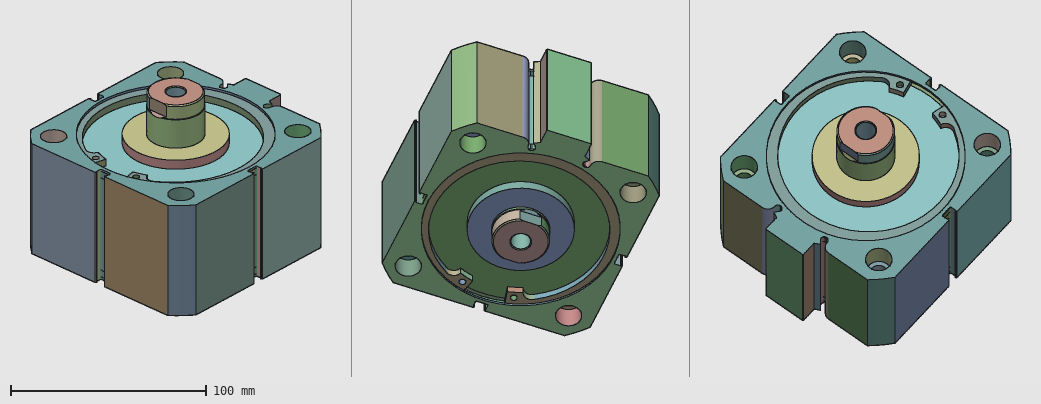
import cadquery as cq
import math


HOUSING_WIDTH = 115.0
HALF_WIDTH = HOUSING_WIDTH / 2
HOUSING_HEIGHT = 65.0
CORNER_TURNING_RADIUS = 74.5
BORE_RADIUS = 51.0

BOLT_SPACING = 88.6
BOLT_HOLE_DIAMETER = 8.7
COUNTERBORE_DIAMETER = 13.5
COUNTERBORE_DEPTH = 13.0

SLOT_WIDTH = 6.8
SLOT_DEPTH = 4.5
SLOT_FLOOR_FILLET = 0.6
SLOT_MOUTH_WIDTH = 6.5
SLOT_LIP_WIDTH = 5.4
SLOT_LIP_TAPER_DEPTH = 0.4
SLOT_LIP_THICKNESS = 0.9

RAIL_WIDTH = 24.7
RAIL_TOP_Y = 66.5
RAIL_CORNER_CHAMFER = 0.4
BARB_TIP_X = 15.45
BARB_TIP_Y = 55.95
UNDERCUT_X = 15.2
UNDERCUT_Y = 52.75
UNDERCUT_RADIUS = 2.0
UNDERCUT_NECK_ANGLE = math.radians(140)
SHOULDER_RADIUS = HALF_WIDTH - UNDERCUT_Y

RING_INSET = 1.3
RING_THICKNESS = 4.0
RING_OUTER_RADIUS = 52.95
RING_INNER_RADIUS = 46.5
RING_INNER_OFFSET = 2.1
LUG_INNER_RADIUS = 43.2
LUG_START_ANGLE = math.radians(12.8)
LUG_END_ANGLE = math.radians(23.6)
LUG_NECK_MID = (20.3, -42.55)
LUG_NECK_END_X = 24.5
LUG_HOLE_DIAMETER = 3.5
LUG_HOLE_RADIUS = 46.9
LUG_HOLE_ANGLE = math.radians(17.6)
TOP_RING_TURN = -0.7

COVER_INSET = RING_INSET + RING_THICKNESS
COVER_THICKNESS = 15.0
COVER_BOSS_DIAMETER = 55.0

ROD_DIAMETER = 30.0
ROD_END_DIAMETER = 29.5
ROD_TOP_PROJECTION = 25.0
ROD_BOTTOM_PROJECTION = 10.0
ROD_END_LENGTH = 8.1
ROD_END_CHAMFER = 0.7
ROD_STEP_CHAMFER = (ROD_DIAMETER - ROD_END_DIAMETER) / 2
FLAT_SPACING = 27.0
FLAT_LENGTH = 7.3
ROD_BOTTOM_Z = -ROD_BOTTOM_PROJECTION
ROD_TOP_Z = HOUSING_HEIGHT + ROD_TOP_PROJECTION
ROD_MID_Z = (ROD_BOTTOM_Z + ROD_TOP_Z) / 2
TAP_HOLE_DIAMETER = 10.2
TAP_MOUTH_DIAMETER = 11.2
TAP_HOLE_DEPTH = 25.0
DRILL_POINT_ANGLE = math.radians(118)


def polar_from_minus_y(radius, angle):
    """Point at a radius, its angle counted from -Y towards +X."""
    return (radius * math.sin(angle), -radius * math.cos(angle))


def mirrored_to_other_end(body):
    """Copy of a body, mirrored about the mid-height plane of the housing."""
    return body.mirror("XY", (0, 0, HOUSING_HEIGHT / 2))


def make_slot_cutter():
    """Slot with tapered lips and rounded floor corners, opening at the -Y face."""
    right_side = [
        (SLOT_MOUTH_WIDTH / 2, 0),
        (SLOT_LIP_WIDTH / 2, SLOT_LIP_TAPER_DEPTH),
        (SLOT_LIP_WIDTH / 2, SLOT_LIP_THICKNESS),
        (SLOT_WIDTH / 2, SLOT_LIP_THICKNESS),
        (SLOT_WIDTH / 2, SLOT_DEPTH),
    ]
    left_side = [(-x, depth) for x, depth in reversed(right_side)]
    outline = [(x, depth - HALF_WIDTH) for x, depth in right_side + left_side]
    slot = cq.Workplane("XY").polyline(outline).close().extrude(HOUSING_HEIGHT)
    return slot.edges("|Z and >Y").fillet(SLOT_FLOOR_FILLET)


def make_rail():
    """Rail block standing on the +Y face."""
    rail_height = RAIL_TOP_Y - HALF_WIDTH
    return (
        cq.Workplane("XY")
        .box(RAIL_WIDTH, rail_height, HOUSING_HEIGHT, centered=(True, False, False))
        .translate((0, HALF_WIDTH, 0))
        .edges("|Z and >Y")
        .chamfer(RAIL_CORNER_CHAMFER)
    )


def make_undercut_cutter():
    """Groove on the +X side of the rail: barb, round undercut, rounded shoulder."""
    neck = (
        UNDERCUT_X + UNDERCUT_RADIUS * math.cos(UNDERCUT_NECK_ANGLE),
        UNDERCUT_Y + UNDERCUT_RADIUS * math.sin(UNDERCUT_NECK_ANGLE),
    )
    shoulder_start_x = UNDERCUT_X + UNDERCUT_RADIUS
    shoulder_center_x = shoulder_start_x + SHOULDER_RADIUS
    shoulder_mid = (
        shoulder_center_x - SHOULDER_RADIUS * math.sqrt(0.5),
        UNDERCUT_Y + SHOULDER_RADIUS * math.sqrt(0.5),
    )
    return (
        cq.Workplane("XY")
        .moveTo(RAIL_WIDTH / 2, HALF_WIDTH)
        .lineTo(BARB_TIP_X, BARB_TIP_Y)
        .lineTo(*neck)
        .threePointArc((UNDERCUT_X, UNDERCUT_Y - UNDERCUT_RADIUS), (shoulder_start_x, UNDERCUT_Y))
        .threePointArc(shoulder_mid, (shoulder_center_x, HALF_WIDTH))
        .close()
        .extrude(HOUSING_HEIGHT)
    )


def make_ring_groove():
    """Full-round groove for the top retaining ring."""
    return (
        cq.Workplane("XY", origin=(0, 0, HOUSING_HEIGHT - RING_INSET))
        .circle(RING_OUTER_RADIUS)
        .extrude(-RING_THICKNESS)
    )


def make_bolt_hole_cutter():
    """Four through holes with a counterbore at each end."""
    def holes(start_z, diameter, depth):
        return (
            cq.Workplane("XY", origin=(0, 0, start_z))
            .rect(BOLT_SPACING, BOLT_SPACING, forConstruction=True)
            .vertices()
            .circle(diameter / 2)
            .extrude(depth)
        )

    through_holes = holes(0, BOLT_HOLE_DIAMETER, HOUSING_HEIGHT)
    lower_counterbores = holes(0, COUNTERBORE_DIAMETER, COUNTERBORE_DEPTH)
    upper_counterbores = mirrored_to_other_end(lower_counterbores)
    return through_holes.union(lower_counterbores).union(upper_counterbores)


def make_housing():
    block = cq.Workplane("XY").rect(HOUSING_WIDTH, HOUSING_WIDTH).extrude(HOUSING_HEIGHT)
    corner_round = cq.Workplane("XY").circle(CORNER_TURNING_RADIUS).extrude(HOUSING_HEIGHT)
    housing = block.intersect(corner_round).union(make_rail())

    undercut = make_undercut_cutter()
    housing = housing.cut(undercut).cut(undercut.mirror("YZ"))

    slot = make_slot_cutter()
    for turn in (-90, 0, 90):
        housing = housing.cut(slot.rotate((0, 0, 0), (0, 0, 1), turn))

    bore = cq.Workplane("XY").circle(BORE_RADIUS).extrude(HOUSING_HEIGHT)
    groove = make_ring_groove()
    housing = housing.cut(bore).cut(groove).cut(mirrored_to_other_end(groove))
    return housing.cut(make_bolt_hole_cutter())


def make_retaining_ring():
    """Top internal retaining ring, its gap and two drilled lugs at -Y."""
    lug_mid_angle = (LUG_START_ANGLE + LUG_END_ANGLE) / 2
    end_outer = polar_from_minus_y(RING_OUTER_RADIUS, LUG_START_ANGLE)
    lug_start = polar_from_minus_y(LUG_INNER_RADIUS, LUG_START_ANGLE)
    lug_mid = polar_from_minus_y(LUG_INNER_RADIUS, lug_mid_angle)
    lug_end = polar_from_minus_y(LUG_INNER_RADIUS, LUG_END_ANGLE)
    neck_drop = math.sqrt(RING_INNER_RADIUS**2 - LUG_NECK_END_X**2)
    neck_end = (LUG_NECK_END_X, -RING_INNER_OFFSET - neck_drop)
    hole_x, hole_y = polar_from_minus_y(LUG_HOLE_RADIUS, LUG_HOLE_ANGLE)

    def opposite(point):
        """The same point on the -X side."""
        return (-point[0], point[1])

    return (
        cq.Workplane("XY", origin=(0, 0, HOUSING_HEIGHT - RING_INSET))
        .moveTo(*end_outer)
        .lineTo(*lug_start)
        .threePointArc(lug_mid, lug_end)
        .threePointArc(LUG_NECK_MID, neck_end)
        .threePointArc((0, RING_INNER_RADIUS - RING_INNER_OFFSET), opposite(neck_end))
        .threePointArc(opposite(LUG_NECK_MID), opposite(lug_end))
        .threePointArc(opposite(lug_mid), opposite(lug_start))
        .lineTo(*opposite(end_outer))
        .threePointArc((0, RING_OUTER_RADIUS), end_outer)
        .close()
        .pushPoints([(hole_x, hole_y), (-hole_x, hole_y)])
        .circle(LUG_HOLE_DIAMETER / 2)
        .extrude(-RING_THICKNESS)
    )


def make_cover():
    """Top end cover: disc under the ring, with a rod boss flush with the housing."""
    disc_top = HOUSING_HEIGHT - COVER_INSET
    disc = (
        cq.Workplane("XY", origin=(0, 0, disc_top))
        .circle(BORE_RADIUS)
        .extrude(-COVER_THICKNESS)
    )
    boss = (
        cq.Workplane("XY", origin=(0, 0, disc_top))
        .circle(COVER_BOSS_DIAMETER / 2)
        .extrude(COVER_INSET)
    )
    return disc.union(boss).faces(">Z").workplane().hole(ROD_DIAMETER)


def make_flat_cutter():
    """Removes the rod outside two wrench flats at its top end, with 45 degree run-outs."""
    half_spacing = FLAT_SPACING / 2
    run_out = ROD_DIAMETER / 2
    flat_bottom = ROD_TOP_Z - FLAT_LENGTH
    side = (
        cq.Workplane("YZ")
        .polyline([
            (half_spacing, ROD_TOP_Z),
            (half_spacing, flat_bottom),
            (half_spacing + run_out, flat_bottom - run_out),
            (half_spacing + run_out, ROD_TOP_Z),
        ])
        .close()
        .extrude(ROD_DIAMETER / 2, both=True)
    )
    return side.union(side.mirror("XZ"))


def make_tap_hole_cutter():
    """Blind hole in the top rod end with a drill point and a chamfered mouth."""
    radius = TAP_HOLE_DIAMETER / 2
    mouth_radius = TAP_MOUTH_DIAMETER / 2
    point_length = radius / math.tan(DRILL_POINT_ANGLE / 2)
    hole_bottom = ROD_TOP_Z - TAP_HOLE_DEPTH
    return (
        cq.Workplane("XZ")
        .polyline([
            (0, ROD_TOP_Z),
            (mouth_radius, ROD_TOP_Z),
            (radius, ROD_TOP_Z - (mouth_radius - radius)),
            (radius, hole_bottom),
            (0, hole_bottom - point_length),
        ])
        .close()
        .revolve(360, (0, 0, 0), (0, 1, 0))
    )


def make_rod_half():
    """Upper half of the rod; the lower half is its mirror image."""
    step_z = ROD_TOP_Z - ROD_END_LENGTH
    shank = (
        cq.Workplane("XY", origin=(0, 0, ROD_MID_Z))
        .circle(ROD_DIAMETER / 2)
        .extrude(step_z - ROD_MID_Z)
        .faces(">Z")
        .chamfer(ROD_STEP_CHAMFER)
    )
    end = (
        cq.Workplane("XY", origin=(0, 0, step_z))
        .circle(ROD_END_DIAMETER / 2)
        .extrude(ROD_END_LENGTH)
        .faces(">Z")
        .chamfer(ROD_END_CHAMFER)
    )
    return shank.union(end).cut(make_flat_cutter()).cut(make_tap_hole_cutter())


def make_rod():
    upper_half = make_rod_half()
    return upper_half.union(upper_half.mirror("XY", (0, 0, ROD_MID_Z)))


housing = make_housing()
rod = make_rod()
top_cover = make_cover()
bottom_cover = mirrored_to_other_end(top_cover)
plain_ring = make_retaining_ring()
top_ring = plain_ring.rotate((0, 0, 0), (0, 0, 1), TOP_RING_TURN)
bottom_ring = mirrored_to_other_end(plain_ring)

result = cq.Compound.makeCompound([
    housing.val(),
    top_cover.val(),
    bottom_cover.val(),
    top_ring.val(),
    bottom_ring.val(),
    rod.val(),
])